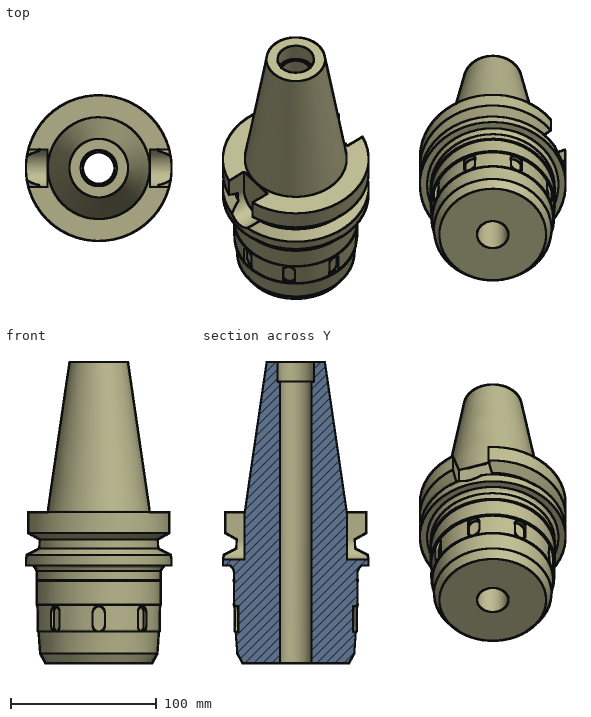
import cadquery as cq

total_height = 206.8
flange_radius = 50.0

nose_end_radius = 36.6
nose_chamfer_radius = 40.3
nose_chamfer_height = 6.8
nose_top_radius = 41.4

band_radius = 42.2
band_bottom = 21.7
band_bevel_height = 1.9
band_bevel_width = 0.5
band_top = 40.0

body_radius = 42.5
split_height = 56.9
split_width = 0.6
split_depth = 0.5
sleeve_bevel = 0.6
flare_bottom = 63.3
flare_mid = 65.1
flare_mid_radius = 43.5
flare_top_radius = 45.0

flange_bottom = 67.0
flange_top = 103.8
groove_lower_rim = 74.5
groove_upper_rim = 89.3
groove_slope_height = 4.3

taper_base_radius = 35.0
taper_base = 105.0
taper_ratio = 7 / 24
taper_top_radius = taper_base_radius - (total_height - taper_base) * taper_ratio / 2

bore_radius = 10.8
counterbore_radius = 12.5
counterbore_depth = 13.6

drive_slot_width = 25.6
drive_slot_bottom = 71.3
drive_slot_floor = 35.2

wrench_slot_count = 8
wrench_slot_width = 8.3
wrench_slot_height = 17.4
wrench_slot_bottom = 21.7
wrench_slot_floor = 39.5


def make_body():
    """Solid of revolution carrying every turned surface."""
    split_radius = body_radius - split_depth
    profile = [
        (0, 0),
        (nose_end_radius, 0),
        (nose_chamfer_radius, nose_chamfer_height),
        (nose_top_radius, band_bottom),
        (band_radius - band_bevel_width, band_bottom),
        (band_radius, band_bottom + band_bevel_height),
        (band_radius, band_top),
        (body_radius - sleeve_bevel, band_top),
        (body_radius, band_top + sleeve_bevel),
        (body_radius, split_height - split_width / 2),
        (split_radius, split_height - split_width / 2),
        (split_radius, split_height + split_width / 2),
        (body_radius, split_height + split_width / 2),
        (body_radius, flare_bottom),
        (flare_mid_radius, flare_mid),
        (flare_top_radius, flange_bottom),
        (flange_radius, flange_bottom),
        (flange_radius, groove_lower_rim),
        (body_radius, groove_lower_rim + groove_slope_height),
        (body_radius, groove_upper_rim - groove_slope_height),
        (flange_radius, groove_upper_rim),
        (flange_radius, flange_top),
        (taper_base_radius, flange_top),
        (taper_base_radius, taper_base),
        (taper_top_radius, total_height),
        (0, total_height),
    ]
    return cq.Workplane("XZ").polyline(profile).close().revolve(360, (0, 0, 0), (0, 1, 0))


def make_bore():
    """Through bore with a counterbore at the taper end."""
    through = cq.Workplane("XY").circle(bore_radius).extrude(total_height)
    counterbore = (
        cq.Workplane("XY", origin=(0, 0, total_height - counterbore_depth))
        .circle(counterbore_radius)
        .extrude(counterbore_depth)
    )
    return through.union(counterbore)


def make_drive_slot():
    """Drive slot on +X: round at the bottom, open at the top face of the flange."""
    half_width = drive_slot_width / 2
    arc_center = drive_slot_bottom + half_width
    return (
        cq.Workplane("YZ", origin=(drive_slot_floor, 0, 0))
        .moveTo(-half_width, flange_top)
        .lineTo(-half_width, arc_center)
        .threePointArc((0, drive_slot_bottom), (half_width, arc_center))
        .lineTo(half_width, flange_top)
        .close()
        .extrude(flange_radius - drive_slot_floor)
    )


def make_wrench_slot():
    """Upright round-ended wrench slot on +X with a flat floor."""
    return (
        cq.Workplane("YZ", origin=(wrench_slot_floor, 0, wrench_slot_bottom + wrench_slot_height / 2))
        .slot2D(wrench_slot_height, wrench_slot_width, 90)
        .extrude(flange_radius - wrench_slot_floor)
    )


def around_axis(cutter, index, count):
    return cutter.rotate((0, 0, 0), (0, 0, 1), index * 360 / count)


result = make_body().cut(make_bore())
for side in range(2):
    result = result.cut(around_axis(make_drive_slot(), side, 2))
for position in range(wrench_slot_count):
    result = result.cut(around_axis(make_wrench_slot(), position, wrench_slot_count))